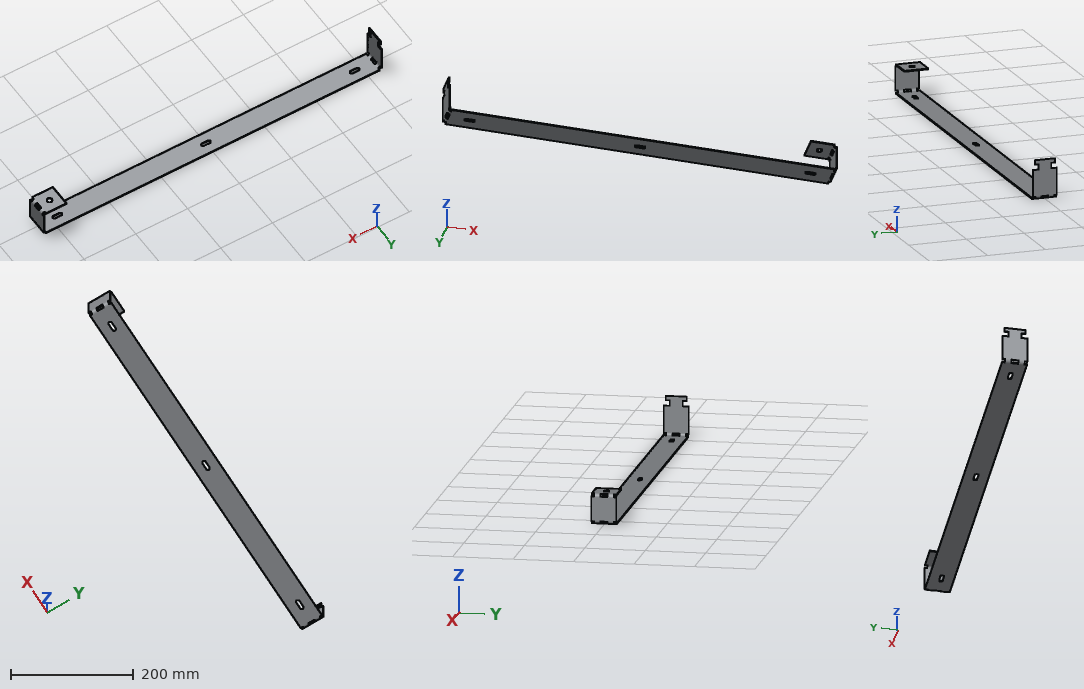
import cadquery as cq

length = 654.0
width = 41.0
height = 67.0
thickness = 2.0
outer_radius = 6.0
inner_radius = outer_radius - thickness

right_height = 50.5
flange_length = 44.5
flange_hole_diameter = 9.0
flange_hole_inset = 25.0

shoulder_height = 50.5
head_width = 34.5
neck_width = 21.5
head_height = 7.0

slot_length = 17.5
slot_width = 6.0
slot_spacing = 287.0
slot_count = 3

web_width = 10.5
web_offset = 11.0
relief_length = 4.5

flange_x = length - flange_length


def centred_box(x_min, x_max, y_size, z_min, z_max, y_middle=0):
    """Box between the given X and Z limits, centred on y_middle."""
    box = cq.Workplane("XY").box(x_max - x_min, y_size, z_max - z_min, centered=(False, True, False))
    return box.translate((x_min, y_middle, z_min))


def bent_strip():
    """Full-width strip: -X upright, base, +X upright and return flange, with rounded bends."""
    outside_corners = [(0, height), (0, 0), (length, 0), (length, right_height), (flange_x, right_height)]
    inside_corners = [
        (flange_x, right_height - thickness),
        (length - thickness, right_height - thickness),
        (length - thickness, thickness),
        (thickness, thickness),
        (thickness, height),
    ]
    strip = cq.Workplane("XZ").polyline(outside_corners + inside_corners).close().extrude(width / 2, both=True)

    def round_bends(body, corners, radius):
        for x, z in corners:
            corner = cq.selectors.NearestToPointSelector((x, 0, z))
            body = body.edges("|Y").edges(corner).fillet(radius)
        return body

    strip = round_bends(strip, outside_corners[1:-1], outer_radius)
    return round_bends(strip, inside_corners[1:-1], inner_radius)


def bend_relief(x_min, z_min):
    """Square column of material cut from one bend corner, leaving only its two webs."""
    x_max = x_min + relief_length
    z_max = z_min + relief_length
    relief = centred_box(x_min, x_max, width, z_min, z_max)
    for side in (-1, 1):
        relief = relief.cut(centred_box(x_min, x_max, web_width, z_min, z_max, side * web_offset))
    return relief


def neck_cut():
    """Side notches that leave the T-shaped head above the shoulders of the -X upright."""
    neck_top = height - head_height
    above_shoulders = centred_box(0, thickness, width, shoulder_height, height)
    neck = centred_box(0, thickness, neck_width, shoulder_height, neck_top)
    head = centred_box(0, thickness, head_width, neck_top, height)
    return above_shoulders.cut(neck).cut(head)


def base_slots():
    """Row of round-ended slots through the base."""
    row = cq.Workplane("XY").center(length / 2, 0).rarray(slot_spacing, 6.5, slot_count, 1)
    return row.slot2D(slot_length, slot_width).extrude(thickness)


def flange_hole():
    """Round hole through the return flange only."""
    flange_underside = cq.Workplane("XY", origin=(length - flange_hole_inset, 0, right_height - thickness))
    return flange_underside.circle(flange_hole_diameter / 2).extrude(thickness)


right_bend_x = length - relief_length
bend_corners = [(0, 0), (right_bend_x, 0), (right_bend_x, right_height - relief_length)]

result = bent_strip()
for bend_x, bend_z in bend_corners:
    result = result.cut(bend_relief(bend_x, bend_z))
result = result.cut(neck_cut()).cut(base_slots()).cut(flange_hole())